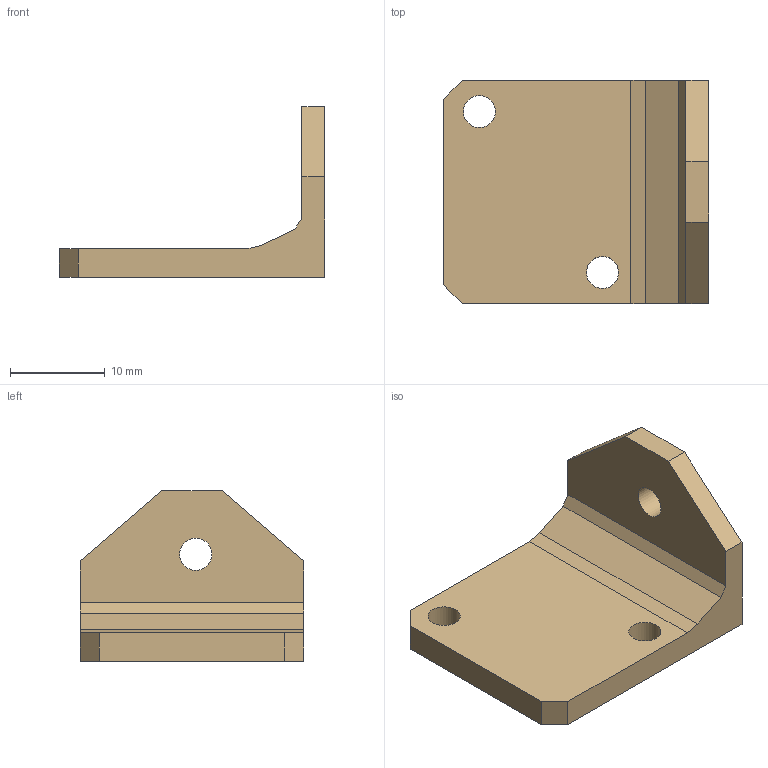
import cadquery as cq

length = 28.0
width = 23.6
height = 18.0

base_thickness = 3.0
wall_thickness = 2.4
base_corner_chamfer = 2.0

shoulder_height = 10.6
wall_top_width = 6.4

gusset_run = 5.8
gusset_rise = 3.2
gusset_lower_run = 4.25
gusset_lower_rise = 0.36
gusset_upper_run = 0.75
gusset_upper_rise = 2.07

hole_diameter = 3.4
hole_edge_offset_y = 3.3
first_hole_x = 3.8
base_hole_spacing_x = 13.0
wall_hole_y = 11.4
wall_hole_z = 11.3

wall_face_x = length - wall_thickness


def make_bracket_body():
    """L-shaped section with a faceted inside corner, extruded across the width."""
    section = [
        (0, 0),
        (length, 0),
        (length, height),
        (wall_face_x, height),
        (wall_face_x, base_thickness + gusset_rise),
        (wall_face_x - gusset_upper_run, base_thickness + gusset_upper_rise),
        (wall_face_x - gusset_lower_run, base_thickness + gusset_lower_rise),
        (wall_face_x - gusset_run, base_thickness),
        (0, base_thickness),
    ]
    return cq.Workplane("XZ").polyline(section).close().extrude(-width)


def make_wall_outline():
    """Prism along X that trims the wall to its sloped shoulders."""
    shoulder_run = (width - wall_top_width) / 2
    outline = [
        (0, 0),
        (width, 0),
        (width, shoulder_height),
        (width - shoulder_run, height),
        (shoulder_run, height),
        (0, shoulder_height),
    ]
    return cq.Workplane("YZ").polyline(outline).close().extrude(length)


def make_base_holes():
    """Two diagonal mounting holes through the base plate."""
    centers = [
        (first_hole_x, width - hole_edge_offset_y),
        (first_hole_x + base_hole_spacing_x, hole_edge_offset_y),
    ]
    return cq.Workplane("XY").pushPoints(centers).circle(hole_diameter / 2).extrude(base_thickness)


def make_wall_hole():
    """Single hole along X through the upright wall."""
    return (
        cq.Workplane("YZ", origin=(wall_face_x, wall_hole_y, wall_hole_z))
        .circle(hole_diameter / 2)
        .extrude(wall_thickness)
    )


bracket = make_bracket_body().intersect(make_wall_outline())
bracket = bracket.edges("|Z and <X").chamfer(base_corner_chamfer)
result = bracket.cut(make_base_holes()).cut(make_wall_hole())